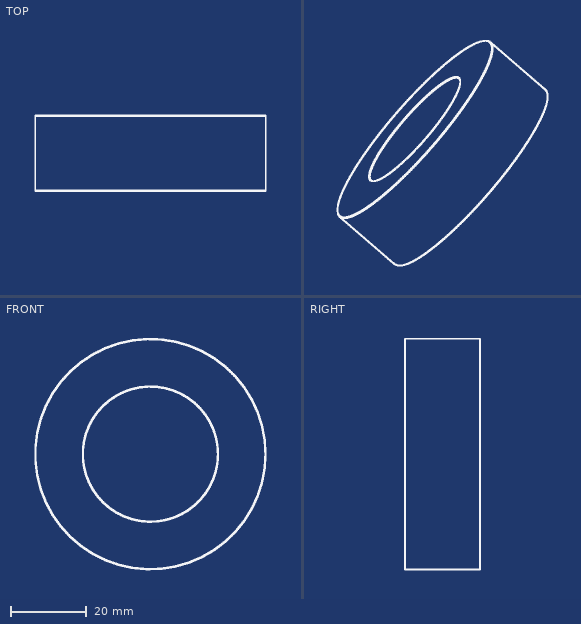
import cadquery as cq

outer_diameter = 61.0
bore_diameter = 35.5
width = 20.0
edge_chamfer = 0.2

ring = (
    cq.Workplane("XZ", origin=(0, width / 2, 0))
    .circle(outer_diameter / 2)
    .circle(bore_diameter / 2)
    .extrude(width)
)

result = ring.faces("<Y or >Y").edges().chamfer(edge_chamfer)